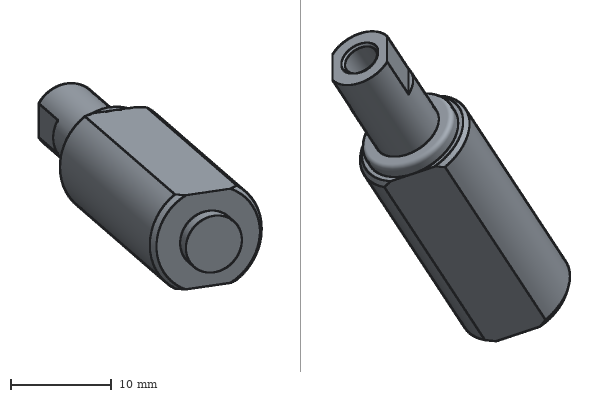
import cadquery as cq

TOTAL_LENGTH = 38.5
SHANK_LENGTH = 11.0
SLEEVE_START = 12.35
SLEEVE_END = 37.0

SHANK_DIAMETER = 7.0
WRENCH_WIDTH = 6.0
WRENCH_LENGTH = 5.0
BORE_DIAMETER = 3.5
BORE_DEPTH = 8.0
BORE_CHAMFER = 0.27

SLEEVE_DIAMETER = 12.0
SLEEVE_HEIGHT = 10.0
COLLAR_DIAMETER = SLEEVE_HEIGHT
COLLAR_FILLET = 0.5
SLEEVE_CHAMFER_RADIAL = 0.45
FRONT_CHAMFER_LENGTH = 0.5
REAR_CHAMFER_LENGTH = 0.6
TAIL_DIAMETER = 6.0


def cylinder_along_x(start, end, diameter):
    """Solid cylinder on the X axis between two X positions."""
    return cq.Workplane("YZ").workplane(offset=start).circle(diameter / 2).extrude(end - start)


def make_rod():
    """Shank with two wrench flats and a chamfered blind bore at its free end."""
    bore = cylinder_along_x(0, BORE_DEPTH, BORE_DIAMETER)
    wrench_end = cq.Workplane("XY").box(
        WRENCH_LENGTH, WRENCH_WIDTH, SHANK_DIAMETER, centered=(False, True, True)
    )
    flatted_end = cylinder_along_x(0, WRENCH_LENGTH, SHANK_DIAMETER).intersect(wrench_end)
    round_end = cylinder_along_x(WRENCH_LENGTH, SHANK_LENGTH, SHANK_DIAMETER)
    shank = flatted_end.union(round_end).cut(bore)
    bore_rim = shank.faces("<X").edges(cq.selectors.RadiusNthSelector(0))
    return bore_rim.chamfer(BORE_CHAMFER)


def make_sleeve():
    """Round barrel with chamfered ends and flats on its top and bottom."""
    radius = SLEEVE_DIAMETER / 2
    end_radius = radius - SLEEVE_CHAMFER_RADIAL
    barrel = (
        cq.Workplane("XY")
        .moveTo(SLEEVE_START, 0)
        .lineTo(SLEEVE_START, end_radius)
        .lineTo(SLEEVE_START + FRONT_CHAMFER_LENGTH, radius)
        .lineTo(SLEEVE_END - REAR_CHAMFER_LENGTH, radius)
        .lineTo(SLEEVE_END, end_radius)
        .lineTo(SLEEVE_END, 0)
        .close()
        .revolve(360, (0, 0, 0), (1, 0, 0))
    )
    between_flats = cq.Workplane("XY").box(
        TOTAL_LENGTH, SLEEVE_DIAMETER, SLEEVE_HEIGHT, centered=(False, True, True)
    )
    return barrel.intersect(between_flats)


def make_housing():
    """Flatted sleeve with a rounded collar in front and a spigot behind."""
    collar = cylinder_along_x(SHANK_LENGTH, SLEEVE_START, COLLAR_DIAMETER)
    collar = collar.faces("<X").edges().fillet(COLLAR_FILLET)
    tail = cylinder_along_x(SLEEVE_END, TOTAL_LENGTH, TAIL_DIAMETER)
    return make_sleeve().union(collar).union(tail)


rod = make_rod()
housing = make_housing()

result = cq.Compound.makeCompound([rod.val(), housing.val()])